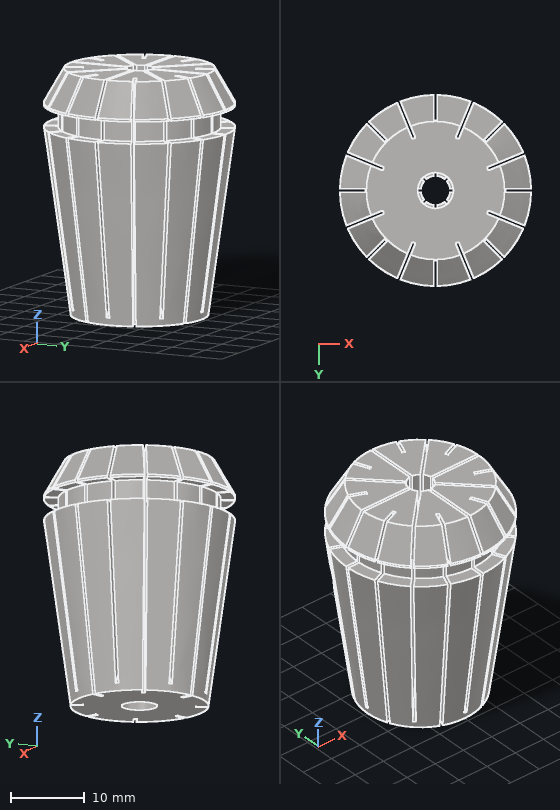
import cadquery as cq
import math

LENGTH = 34.0
MAX_DIAMETER = 26.0
SMALL_END_RADIUS = 9.4
BODY_HEIGHT = 25.87
GROOVE_RADIUS = 11.05
HEAD_BASE = 28.95
HEAD_RADIUS = 10.27
HEAD_TAPER = 30.0

BORE_RADIUS = 1.97
RELIEF_RADIUS = 2.4
RELIEF_DEPTH = 10.4

SLIT_WIDTH = 0.45
SLITS_PER_SET = 8
SLIT_PITCH = 360.0 / SLITS_PER_SET
SLIT_END = 1.05
SHALLOW_SLIT_RADIUS = 7.7
OVERCUT = 0.68

MAX_RADIUS = MAX_DIAMETER / 2
BODY_SLOPE = (MAX_RADIUS - SMALL_END_RADIUS) / BODY_HEIGHT
HEAD_CONE_BASE = LENGTH - (MAX_RADIUS - HEAD_RADIUS) / math.tan(math.radians(HEAD_TAPER))
CUT_RADIUS = MAX_RADIUS + OVERCUT


def make_body():
    """Revolved body: long taper, extraction groove and short conical head."""
    return (
        cq.Workplane("XZ")
        .moveTo(0, 0)
        .lineTo(SMALL_END_RADIUS, 0)
        .lineTo(MAX_RADIUS, BODY_HEIGHT)
        .lineTo(GROOVE_RADIUS, BODY_HEIGHT)
        .lineTo(GROOVE_RADIUS, HEAD_BASE)
        .lineTo(MAX_RADIUS, HEAD_BASE)
        .lineTo(MAX_RADIUS, HEAD_CONE_BASE)
        .lineTo(HEAD_RADIUS, LENGTH)
        .lineTo(0, LENGTH)
        .close()
        .revolve(360, (0, 0, 0), (0, 1, 0))
    )


def make_bore():
    """Through bore and its wider relief."""
    bore = cq.Workplane("XY").circle(BORE_RADIUS).extrude(LENGTH)
    relief = cq.Workplane("XY").circle(RELIEF_RADIUS).extrude(RELIEF_DEPTH)
    return bore.union(relief)


def make_slit(outline):
    """Thin radial cutter along +X from its (radius, height) outline."""
    return cq.Workplane("XZ").polyline(outline).close().extrude(SLIT_WIDTH / 2, both=True)


def cut_ring(body, cutter, start_angle):
    """Cut one evenly spaced set of slits around the axis."""
    for index in range(SLITS_PER_SET):
        angle = start_angle + index * SLIT_PITCH
        body = body.cut(cutter.rotate((0, 0, 0), (0, 0, 1), angle))
    return body


run_out_radius = SMALL_END_RADIUS + SLIT_END * BODY_SLOPE
floor_slope = (RELIEF_DEPTH - SLIT_END) / (run_out_radius - RELIEF_RADIUS)
front_slit = make_slit([
    (0, LENGTH + OVERCUT),
    (0, RELIEF_DEPTH),
    (RELIEF_RADIUS, RELIEF_DEPTH),
    (CUT_RADIUS, RELIEF_DEPTH - floor_slope * (CUT_RADIUS - RELIEF_RADIUS)),
    (CUT_RADIUS, LENGTH + OVERCUT),
])

shallow_slit = make_slit([
    (SHALLOW_SLIT_RADIUS, -OVERCUT),
    (CUT_RADIUS, -OVERCUT),
    (CUT_RADIUS, LENGTH + OVERCUT),
    (SHALLOW_SLIT_RADIUS, LENGTH + OVERCUT),
])

collet = make_body().cut(make_bore())
collet = cut_ring(collet, front_slit, 0)
result = cut_ring(collet, shallow_slit, SLIT_PITCH / 2)